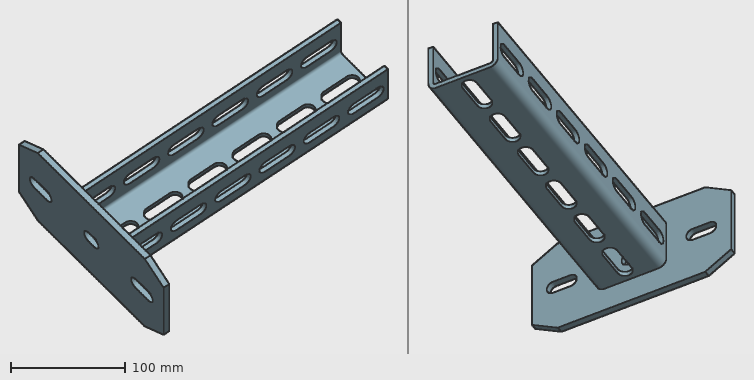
import cadquery as cq
import math

TOTAL_LENGTH = 306.5

PLATE_WIDTH = 200.0
PLATE_HEIGHT = 100.0
PLATE_THICKNESS = 6.5
CORNER_DROP = 15.0
CORNER_ANGLE = 30.0
CORNER_RUN = CORNER_DROP / math.tan(math.radians(CORNER_ANGLE))

PLATE_SLOT_WIDTH = 13.0
OUTER_SLOT_LENGTH = 30.0
OUTER_SLOT_SPACING = 140.0
CENTER_SLOT_LENGTH = 20.0

RAIL_LENGTH = TOTAL_LENGTH - PLATE_THICKNESS
RAIL_WIDTH = 70.0
RAIL_HEIGHT = 50.0
RAIL_THICKNESS = 5.0
BEND_INNER_RADIUS = 3.0
BEND_OUTER_RADIUS = BEND_INNER_RADIUS + RAIL_THICKNESS

RAIL_SLOT_COUNT = 6
RAIL_SLOT_PITCH = RAIL_LENGTH / RAIL_SLOT_COUNT
RAIL_SLOT_LENGTH = 40.0
RAIL_SLOT_WIDTH = 14.0


def make_plate():
    """Flat plate with four sloping corners."""
    half_width = PLATE_WIDTH / 2
    half_height = PLATE_HEIGHT / 2
    flat_x = half_width - CORNER_RUN
    flat_z = half_height - CORNER_DROP
    outline = [
        (flat_x, half_height),
        (half_width, flat_z),
        (half_width, -flat_z),
        (flat_x, -half_height),
        (-flat_x, -half_height),
        (-half_width, -flat_z),
        (-half_width, flat_z),
        (-flat_x, half_height),
    ]
    return cq.Workplane("XZ").polyline(outline).close().extrude(-PLATE_THICKNESS)


def make_bar(width, bottom_radius):
    """Bar as long as the rail, flush with the rail's top, with its two bottom edges rounded."""
    height = RAIL_HEIGHT - (RAIL_WIDTH - width) / 2
    return (
        cq.Workplane("XY")
        .box(width, RAIL_LENGTH, height, centered=(True, False, False))
        .translate((0, PLATE_THICKNESS, RAIL_HEIGHT / 2 - height))
        .edges("|Y and <Z")
        .fillet(bottom_radius)
    )


def make_rail():
    """U-shaped channel of even thickness with rounded bends."""
    outside = make_bar(RAIL_WIDTH, BEND_OUTER_RADIUS)
    inside = make_bar(RAIL_WIDTH - 2 * RAIL_THICKNESS, BEND_INNER_RADIUS)
    return outside.cut(inside)


def plate_slots():
    """Cutters for the two outer slots and the short center slot of the plate."""
    half_spacing = OUTER_SLOT_SPACING / 2
    outer = (
        cq.Workplane("XZ")
        .pushPoints([(-half_spacing, 0), (half_spacing, 0)])
        .slot2D(OUTER_SLOT_LENGTH, PLATE_SLOT_WIDTH)
        .extrude(-PLATE_THICKNESS)
    )
    center = (
        cq.Workplane("XZ")
        .slot2D(CENTER_SLOT_LENGTH, PLATE_SLOT_WIDTH)
        .extrude(-PLATE_THICKNESS)
    )
    return outer.union(center)


def rail_slots():
    """Cutters for the slot rows through the floor and through both side walls."""
    centers = [PLATE_THICKNESS + (i + 0.5) * RAIL_SLOT_PITCH for i in range(RAIL_SLOT_COUNT)]
    floor_row = (
        cq.Workplane("XY", origin=(0, 0, -RAIL_HEIGHT / 2))
        .pushPoints([(0, y) for y in centers])
        .slot2D(RAIL_SLOT_LENGTH, RAIL_SLOT_WIDTH, 90)
        .extrude(RAIL_THICKNESS)
    )
    wall_row = (
        cq.Workplane("YZ")
        .pushPoints([(y, 0) for y in centers])
        .slot2D(RAIL_SLOT_LENGTH, RAIL_SLOT_WIDTH)
        .extrude(RAIL_WIDTH / 2, both=True)
    )
    return floor_row.union(wall_row)


plate = make_plate().cut(plate_slots())
rail = make_rail().cut(rail_slots())
result = plate.union(rail)